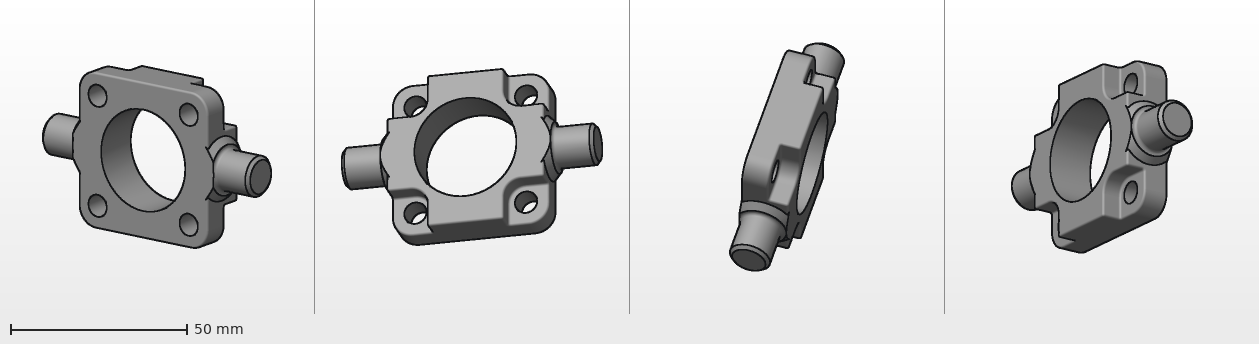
import cadquery as cq
import math

plate_side = 46.0
plate_thickness = 14.0
corner_radius = 6.0
edge_fillet = 0.7
bore_diameter = 30.0

hole_diameter = 6.5
hole_spacing = 32.5
seat_radius = 5.1
seat_depth = 6.0

overall_length = 74.0
trunnion_radius = 6.0
trunnion_chamfer = 1.0
root_fillet = 0.95

shoulder_span = 50.0
shoulder_radius = 7.5

rear_y = shoulder_radius
front_y = rear_y - plate_thickness
floor_y = rear_y - seat_depth
half_side = plate_side / 2
half_hole = hole_spacing / 2
half_length = overall_length / 2
half_shoulder = shoulder_span / 2


def block(half_x, half_z, y_min, y_max):
    """Box centred on X and Z, spanning the given limits in Y."""
    box = cq.Workplane("XY").box(2 * half_x, y_max - y_min, 2 * half_z)
    return box.translate((0, (y_min + y_max) / 2, 0))


def seat_cutter():
    """Cutter for the +X +Z seat: rounded inner corner and a filleted floor edge, oversized outwards."""
    inner_wall = half_hole - seat_radius
    size = plate_side
    centre = inner_wall + size / 2
    cutter = block(size / 2, size / 2, floor_y, floor_y + size).translate((centre, 0, centre))
    cutter = cutter.edges("|Y and <X and <Z").fillet(seat_radius)
    return cutter.faces("<Y").edges().fillet(edge_fillet)


def plate():
    """Rounded flange in front of the seats, cross-shaped block behind it, all outer edges filleted."""
    flange = block(half_side, half_side, front_y, floor_y).edges("|Y").fillet(corner_radius)
    body = flange.union(block(half_side, half_side, floor_y, rear_y))
    right_seat = seat_cutter()
    seat_pair = right_seat.union(right_seat.mirror("YZ"))
    body = body.cut(seat_pair).cut(seat_pair.mirror("XY"))
    outer_faces = body.faces("<X or >X or <Y or >Y or <Z or >Z")
    return outer_faces.edges("not |Y").fillet(edge_fillet)


def trunnion():
    """The +X shoulder and trunnion, turned about the X axis and trimmed flush with the plate faces."""
    root_x = half_side - edge_fillet
    root_radius = shoulder_radius + half_shoulder - root_x
    diagonal = math.sqrt(0.5)
    arc_middle = (
        half_shoulder + root_fillet * (1 - diagonal),
        trunnion_radius + root_fillet * (1 - diagonal),
    )
    profile = (
        cq.Workplane("XY")
        .moveTo(root_x, 0)
        .lineTo(root_x, root_radius)
        .lineTo(half_shoulder, shoulder_radius)
        .lineTo(half_shoulder, trunnion_radius + root_fillet)
        .threePointArc(arc_middle, (half_shoulder + root_fillet, trunnion_radius))
        .lineTo(half_length - trunnion_chamfer, trunnion_radius)
        .lineTo(half_length, trunnion_radius - trunnion_chamfer)
        .lineTo(half_length, 0)
        .close()
    )
    turned = profile.revolve(360, (0, 0, 0), (1, 0, 0))
    return turned.intersect(block(half_length, half_side, front_y, rear_y))


def hole_cutters():
    """Central bore and the four mounting holes."""
    plane = cq.Workplane("XZ", origin=(0, rear_y, 0))
    bore = plane.circle(bore_diameter / 2).extrude(plate_thickness)
    holes = plane.rect(hole_spacing, hole_spacing, forConstruction=True).vertices()
    return bore.union(holes.circle(hole_diameter / 2).extrude(plate_thickness))


right_trunnion = trunnion()
result = plate().union(right_trunnion).union(right_trunnion.mirror("YZ")).cut(hole_cutters())